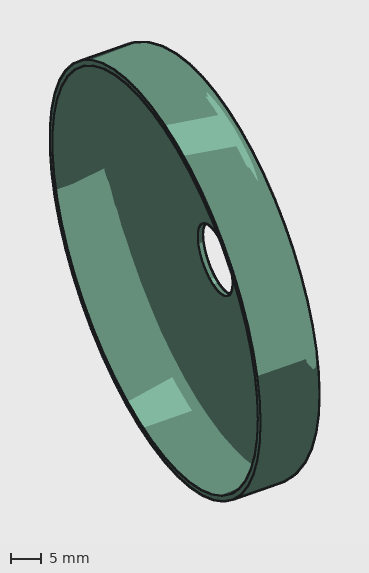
import cadquery as cq

outer_diameter = 76.0
height = 12.0
wall_thickness = 1.0
outer_edge_radius = 3.0
hole_diameter = 12.5

inner_edge_radius = outer_edge_radius - wall_thickness
inner_diameter = outer_diameter - 2 * wall_thickness
inner_depth = height - wall_thickness


def rounded_disc(diameter, depth, edge_radius):
    """Disc from the open rim at Y = 0 towards +Y, with its far edge rounded."""
    disc = cq.Workplane("XZ").circle(diameter / 2).extrude(-depth)
    return disc.faces(">Y").edges().fillet(edge_radius)


def center_hole():
    """Round cutter through the floor on the cap's axis."""
    return cq.Workplane("XZ").circle(hole_diameter / 2).extrude(-height)


shell = rounded_disc(outer_diameter, height, outer_edge_radius)
cavity = rounded_disc(inner_diameter, inner_depth, inner_edge_radius)

result = shell.cut(cavity).cut(center_hole())